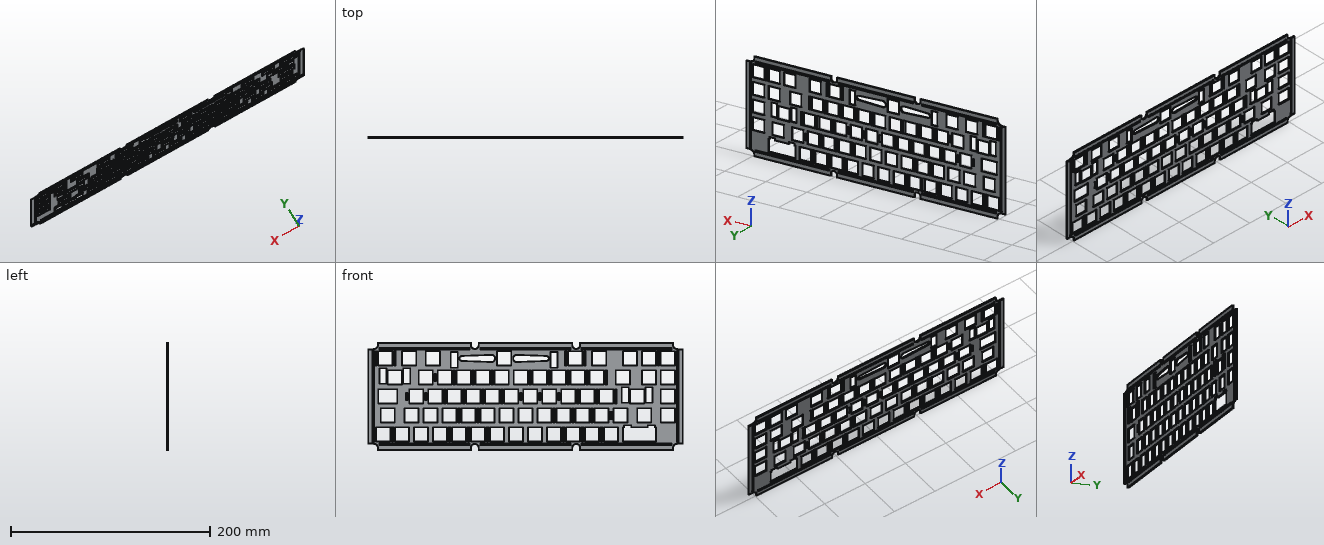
import cadquery as cq

length = 315.8
height = 107.7
thickness = 1.5
side_height = 94.5
rail_length = 296.2
body_length = 304.5
body_height = 95.5
corner_radius = 3.8

notch_x = 50.8
notch_width = 7.5
notch_floor_z = 47.7

flex_width = 1.5
flex_wall = 1.75
rail_slot_z = 48.0
side_slot_x = 152.8

pitch = 285.8 / 15
key_web = 5.0
key_size = pitch - key_web
caps_extra_width = 0.25

number_row, top_row, home_row, shift_row, space_row = -2, -1, 0, 1, 2
last_column = 7.5
space_column = -1.125
left_shift_column = -6.875
enter_column = 5.875
caps_column = -7.25
backspace_column = 6.0
right_mods = [5.5, 6.5, last_column]

key_columns = {
    number_row: [-7.5 + n for n in range(13)],
    top_row: [-7.25] + [-6 + n for n in range(12)] + [6.25, last_column],
    home_row: [-5.75 + n for n in range(11)] + [enter_column, last_column],
    shift_row: [left_shift_column] + [-5.25 + n for n in range(10)] + [5.125, 6.5, last_column],
    space_row: [-7.375, -6.125, -4.875, space_column, 2.625, 3.875] + right_mods,
}

stab_width = 7.0
stab_height = 15.5
stab_offset_z = 1.42
stab_spread = 0.625
space_stab_spread = 2.625

slit_width = 1.3
short_slit = 7.3
long_slits = {
    number_row: [-7, -4, -3, -2, 2, 3, 4],
    top_row: [-3.5, -2.5, 1.5, 2.5, 3.5],
    home_row: [-4.25, -3.25, -2.25, -1.25, 2.75, 3.75, 4.75],
    shift_row: [-3.75, -2.75, -1.75, 0.25, 1.25, 2.25, 3.25, 4.25],
    space_row: [-7.875, -6.875, 2.125, 3.125, 7],
}
short_slits = {
    top_row: [4.5],
    home_row: [-6.25, -5.25, -0.25, 0.75, 1.75],
    shift_row: [-4.75],
}

taper_near = 12.5
taper_far = 42.3
taper_near_radius = 3.5
taper_far_radius = 2.37


def row_z(row):
    return row * pitch


def sheet():
    return cq.Workplane("XZ")


def centred_slab(size_x, size_z):
    return sheet().rect(size_x, size_z).extrude(thickness / 2, both=True)


def plate_blank():
    body = centred_slab(body_length, body_height).union(centred_slab(rail_length, height))
    inner_corners = cq.selectors.BoxSelector(
        (-length, -thickness, -body_height / 2 - corner_radius / 2),
        (length, thickness, body_height / 2 + corner_radius / 2),
    )
    rail_ends = cq.selectors.BoxSelector(
        (-rail_length / 2 - 0.3, -thickness, -height),
        (rail_length / 2 + 0.3, thickness, height),
    )
    body = body.edges("|Y").edges(inner_corners).edges(rail_ends).fillet(corner_radius)
    return body.union(centred_slab(length, side_height))


def rectangles(points, size_x, size_z):
    return sheet().pushPoints(points).rect(size_x, size_z).extrude(thickness, both=True)


def grid_points(columns_by_row):
    return [
        (column * pitch, row_z(row))
        for row, columns in columns_by_row.items()
        for column in columns
    ]


def rail_notches():
    depth = height / 2 - notch_floor_z
    points = [(x, z) for x in (-notch_x, notch_x) for z in (-height / 2, height / 2)]
    return (
        sheet()
        .pushPoints(points)
        .slot2D(2 * depth, notch_width, 90)
        .extrude(thickness, both=True)
    )


def edge_slots():
    notch_edge = notch_x - notch_width / 2
    middle_length = 2 * (notch_edge - flex_wall)
    outer_start = notch_x + notch_width / 2 + flex_wall
    outer_end = rail_length / 2 - flex_wall
    outer_x = (outer_start + outer_end) / 2
    rail_sides = (-rail_slot_z, rail_slot_z)
    middle = rectangles([(0, z) for z in rail_sides], middle_length, flex_width)
    outer_points = [(x, z) for x in (-outer_x, outer_x) for z in rail_sides]
    outer = rectangles(outer_points, outer_end - outer_start, flex_width)
    side_points = [(-side_slot_x, 0), (side_slot_x, 0)]
    sides = rectangles(side_points, flex_width, side_height - 2 * flex_wall)
    return [middle, outer, sides]


def key_openings():
    keys = rectangles(grid_points(key_columns), key_size, key_size)
    caps_width = key_size + caps_extra_width * pitch
    caps = rectangles([(caps_column * pitch, row_z(home_row))], caps_width, key_size)
    backspace_width = key_size + pitch
    backspace = rectangles([(backspace_column * pitch, row_z(number_row))], backspace_width, key_size)
    return [keys, caps, backspace]


def stabiliser_openings():
    points = []
    for column, row, spread, side in [
        (left_shift_column, shift_row, stab_spread, 1),
        (enter_column, home_row, stab_spread, 1),
        (backspace_column, number_row, stab_spread, 1),
        (space_column, space_row, space_stab_spread, -1),
    ]:
        for direction in (-1, 1):
            points.append(((column + direction * spread) * pitch, row_z(row) + side * stab_offset_z))
    return rectangles(points, stab_width, stab_height)


def tapered_slot(direction):
    near = space_column * pitch + direction * taper_near
    far = space_column * pitch + direction * taper_far
    z = row_z(space_row)
    return (
        sheet()
        .moveTo(near, z - taper_near_radius)
        .lineTo(far, z - taper_far_radius)
        .threePointArc((far + direction * taper_far_radius, z), (far, z + taper_far_radius))
        .lineTo(near, z + taper_near_radius)
        .threePointArc((near - direction * taper_near_radius, z), (near, z - taper_near_radius))
        .close()
        .extrude(thickness, both=True)
    )


def flex_slits():
    long_ones = rectangles(grid_points(long_slits), slit_width, key_size)
    short_ones = rectangles(grid_points(short_slits), slit_width, short_slit)
    return [long_ones, short_ones]


result = plate_blank().cut(rail_notches())
for opening in edge_slots() + key_openings() + flex_slits():
    result = result.cut(opening)
result = result.cut(stabiliser_openings())
for direction in (-1, 1):
    result = result.cut(tapered_slot(direction))